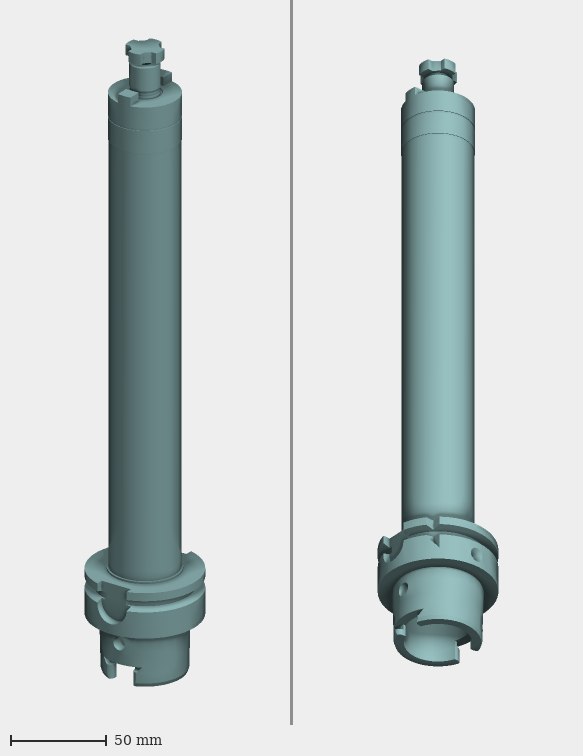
import cadquery as cq
import math

FLANGE_BOTTOM = 32.0
FLANGE_TOP = 58.0
NOSE_TOP = 331.8
PILOT_TOP = 349.0
TOTAL_HEIGHT = 358.0

TAPER_TOP_RADIUS = 24.0
TAPER_BOTTOM_RADIUS = 23.3
SHANK_RELIEF_RADIUS = 23.5
SHANK_RELIEF_HEIGHT = 1.0
SHANK_CHAMFER = 0.7
SHANK_CHAMFER_HEIGHT = 2.0
BORE_RADIUS = 18.0
CROSS_HOLE_DIAMETER = 7.5
CROSS_HOLE_HEIGHT = 23.3

KEYWAY_WIDTH = 12.5
FRONT_KEYWAY_HEIGHT = 11.5
BACK_KEYWAY_HEIGHT = 6.8
KEYWAY_ROUNDING = 3.2
KEYWAY_ROUNDING_START = 18.3
KEYWAY_EAR_WIDTH = 24.5
KEYWAY_EAR_HEIGHT = 3.2

FLANGE_RADIUS = 31.5
GROOVE_RADIUS = 27.0
GROOVE_FLOOR_BOTTOM = 48.3
GROOVE_FLOOR_TOP = 52.0
GROOVE_BOTTOM = 47.0
GROOVE_TOP = 53.5

SLOT_BOTTOM = 37.5
SLOT_FLOOR_DISTANCE = 26.0
FRONT_SLOT_WIDTH = 18.5
BACK_SLOT_WIDTH = 16.0
NOTCH_OFFSET = 19.7
NOTCH_BOTTOM = 38.5
NOTCH_RUNOUT_HEIGHT = 7.0
DIMPLE_DIAMETER = 8.2
DIMPLE_HEIGHT = 39.0

BAR_RADIUS = 19.0
NOSE_RADIUS = 19.5
NOSE_BOTTOM = 305.3
COLLAR_RADIUS = 20.0
COLLAR_HEIGHT = 1.0
SEAM_HEIGHT = 318.0
SEAM_WIDTH = 1.0
SEAM_DEPTH = 0.5

PILOT_RADIUS = 8.2
RECESS_RADIUS = 9.3
RECESS_DEPTH = 0.7
UNDERCUT_RADIUS = 8.0
UNDERCUT_BEVEL = 1.0
UNDERCUT_HEIGHT = 4.0
TENON_WIDTH = 8.0
TENON_HEIGHT = 5.0
TENON_INNER_DISTANCE = 11.5
SCREW_RADIUS = 10.5
SCREW_HEAD_HEIGHT = 6.0
SCREW_NECK_RADIUS = 3.5
SCREW_CONE_RADIUS = 5.7
SCREW_ARM_WIDTH = 7.5
SCREW_NOTCH_DISTANCE = 7.5


def turned_body():
    """Shank, flange, bar, nose, pilot and screw as one turned profile."""
    head_bottom = TOTAL_HEIGHT - SCREW_HEAD_HEIGHT
    relief_bottom = FLANGE_BOTTOM - SHANK_RELIEF_HEIGHT
    profile = [
        (0, 0),
        (TAPER_BOTTOM_RADIUS - SHANK_CHAMFER, 0),
        (TAPER_BOTTOM_RADIUS, SHANK_CHAMFER_HEIGHT),
        (TAPER_TOP_RADIUS, relief_bottom),
        (SHANK_RELIEF_RADIUS, relief_bottom),
        (SHANK_RELIEF_RADIUS, FLANGE_BOTTOM),
        (FLANGE_RADIUS, FLANGE_BOTTOM),
        (FLANGE_RADIUS, GROOVE_BOTTOM),
        (GROOVE_RADIUS, GROOVE_FLOOR_BOTTOM),
        (GROOVE_RADIUS, GROOVE_FLOOR_TOP),
        (FLANGE_RADIUS, GROOVE_TOP),
        (FLANGE_RADIUS, FLANGE_TOP),
        (COLLAR_RADIUS, FLANGE_TOP),
        (COLLAR_RADIUS, FLANGE_TOP + COLLAR_HEIGHT),
        (BAR_RADIUS, FLANGE_TOP + COLLAR_HEIGHT),
        (BAR_RADIUS, NOSE_BOTTOM),
        (NOSE_RADIUS, NOSE_BOTTOM),
        (NOSE_RADIUS, SEAM_HEIGHT),
        (NOSE_RADIUS - SEAM_DEPTH, SEAM_HEIGHT),
        (NOSE_RADIUS - SEAM_DEPTH, SEAM_HEIGHT + SEAM_WIDTH),
        (NOSE_RADIUS, SEAM_HEIGHT + SEAM_WIDTH),
        (NOSE_RADIUS, NOSE_TOP),
        (RECESS_RADIUS, NOSE_TOP),
        (RECESS_RADIUS, NOSE_TOP - RECESS_DEPTH),
        (PILOT_RADIUS, NOSE_TOP - RECESS_DEPTH),
        (PILOT_RADIUS, NOSE_TOP),
        (UNDERCUT_RADIUS, NOSE_TOP + UNDERCUT_BEVEL),
        (UNDERCUT_RADIUS, NOSE_TOP + UNDERCUT_HEIGHT - UNDERCUT_BEVEL),
        (PILOT_RADIUS, NOSE_TOP + UNDERCUT_HEIGHT),
        (PILOT_RADIUS, PILOT_TOP),
        (SCREW_NECK_RADIUS, PILOT_TOP),
        (SCREW_CONE_RADIUS, head_bottom),
        (SCREW_RADIUS, head_bottom),
        (SCREW_RADIUS, TOTAL_HEIGHT),
        (0, TOTAL_HEIGHT),
    ]
    return cq.Workplane("XZ").polyline(profile).close().revolve(360, (0, 0), (0, 1))


def keyway(height):
    """Keyway through the -Y shank wall, with rounded outer edges and flared upper corners."""
    half = KEYWAY_WIDTH / 2
    mouth = half + KEYWAY_ROUNDING
    rounding_end = KEYWAY_ROUNDING_START + KEYWAY_ROUNDING
    arc_inset = KEYWAY_ROUNDING * math.sqrt(0.5)
    arc_x = mouth - arc_inset
    arc_y = -KEYWAY_ROUNDING_START - arc_inset
    passage = (
        cq.Workplane("XY")
        .moveTo(-half, 0)
        .lineTo(-half, -KEYWAY_ROUNDING_START)
        .threePointArc((-arc_x, arc_y), (-mouth, -rounding_end))
        .lineTo(-mouth, -FLANGE_RADIUS)
        .lineTo(mouth, -FLANGE_RADIUS)
        .lineTo(mouth, -rounding_end)
        .threePointArc((arc_x, arc_y), (half, -KEYWAY_ROUNDING_START))
        .lineTo(half, 0)
        .close()
        .extrude(height)
    )
    ears = (
        cq.Workplane("XZ", origin=(0, -KEYWAY_ROUNDING_START, 0))
        .moveTo(-mouth, height - KEYWAY_EAR_HEIGHT)
        .lineTo(mouth, height - KEYWAY_EAR_HEIGHT)
        .lineTo(KEYWAY_EAR_WIDTH / 2, height)
        .lineTo(-KEYWAY_EAR_WIDTH / 2, height)
        .close()
        .extrude(FLANGE_RADIUS - KEYWAY_ROUNDING_START)
    )
    return passage.union(ears)


def shank_cuts():
    """Bore, cross hole and the two keyways of unequal height."""
    bore = cq.Workplane("XY").circle(BORE_RADIUS).extrude(FLANGE_BOTTOM)
    cross_hole = (
        cq.Workplane("XZ")
        .center(0, CROSS_HOLE_HEIGHT)
        .circle(CROSS_HOLE_DIAMETER / 2)
        .extrude(TAPER_TOP_RADIUS, both=True)
    )
    back_keyway = keyway(BACK_KEYWAY_HEIGHT).rotate((0, 0, 0), (0, 0, 1), 180)
    return bore.union(cross_hole).union(keyway(FRONT_KEYWAY_HEIGHT)).union(back_keyway)


def flange_slot(width):
    """Round-bottomed drive slot, open at the flange top, on the -Y side."""
    arc_height = SLOT_BOTTOM + width / 2
    return (
        cq.Workplane("XZ", origin=(0, -SLOT_FLOOR_DISTANCE, 0))
        .moveTo(-width / 2, FLANGE_TOP)
        .lineTo(-width / 2, arc_height)
        .threePointArc((0, SLOT_BOTTOM), (width / 2, arc_height))
        .lineTo(width / 2, FLANGE_TOP)
        .close()
        .extrude(FLANGE_RADIUS - SLOT_FLOOR_DISTANCE)
    )


def orientation_notch():
    """Square corner notch on the -X +Y side that runs out at its lower end."""
    edge = math.sqrt(FLANGE_RADIUS**2 - NOTCH_OFFSET**2)
    return (
        cq.Workplane("YZ", origin=(-NOTCH_OFFSET, 0, 0))
        .moveTo(NOTCH_OFFSET, NOTCH_BOTTOM)
        .lineTo(edge, NOTCH_BOTTOM + NOTCH_RUNOUT_HEIGHT)
        .lineTo(edge, FLANGE_TOP)
        .lineTo(NOTCH_OFFSET, FLANGE_TOP)
        .close()
        .extrude(NOTCH_OFFSET - FLANGE_RADIUS)
    )


def dimple():
    """Conical dimple in the -X side of the flange."""
    radius = DIMPLE_DIAMETER / 2
    cone = cq.Solid.makeCone(
        radius, 0, radius, cq.Vector(-FLANGE_RADIUS, 0, DIMPLE_HEIGHT), cq.Vector(1, 0, 0)
    )
    return cq.Workplane(obj=cone)


def tenons():
    """Pair of drive tenons on the nose face, flush with the nose."""
    face = cq.Workplane("XY", origin=(0, 0, NOSE_TOP))
    strip = face.rect(TENON_WIDTH, 2 * NOSE_RADIUS).extrude(TENON_HEIGHT)
    gap = face.rect(TENON_WIDTH, 2 * TENON_INNER_DISTANCE).extrude(TENON_HEIGHT)
    nose = face.circle(NOSE_RADIUS).extrude(TENON_HEIGHT)
    return strip.intersect(nose).cut(gap)


def screw_notches():
    """Four notches that leave a cross of arms with beveled inner corners."""
    half_arm = SCREW_ARM_WIDTH / 2
    bevel_end = SCREW_NOTCH_DISTANCE * math.sqrt(2) - half_arm
    notch = (
        cq.Workplane("XY", origin=(0, 0, TOTAL_HEIGHT - SCREW_HEAD_HEIGHT))
        .moveTo(half_arm, bevel_end)
        .lineTo(bevel_end, half_arm)
        .lineTo(SCREW_RADIUS, half_arm)
        .lineTo(SCREW_RADIUS, SCREW_RADIUS)
        .lineTo(half_arm, SCREW_RADIUS)
        .close()
        .extrude(SCREW_HEAD_HEIGHT)
    )
    notches = cq.Workplane("XY")
    for quarter in range(4):
        notches = notches.add(notch.rotate((0, 0, 0), (0, 0, 1), 90 * quarter))
    return notches.combine()


back_slot = flange_slot(BACK_SLOT_WIDTH).rotate((0, 0, 0), (0, 0, 1), 180)
result = (
    turned_body()
    .cut(shank_cuts())
    .cut(flange_slot(FRONT_SLOT_WIDTH))
    .cut(back_slot)
    .cut(orientation_notch())
    .cut(dimple())
    .cut(screw_notches())
    .union(tenons())
)